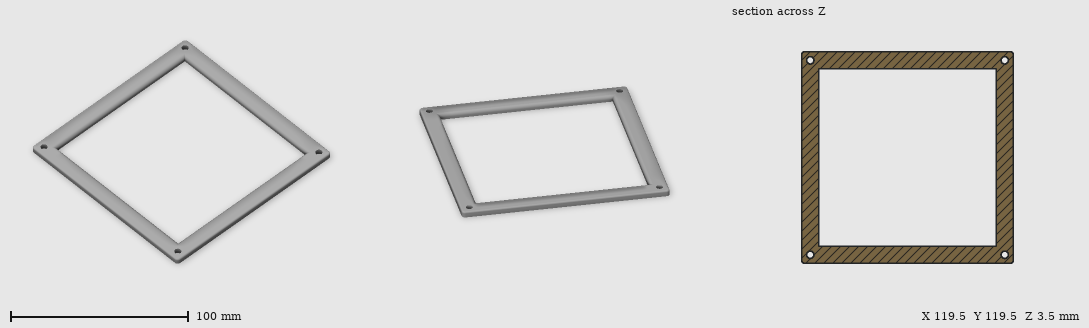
import cadquery as cq

side = 119.5
thickness = 3.5
corner_radius = 2.0
outer_fillet = 1.0

window_margin = 10.0
window_side = side - 2 * window_margin
window_fillet = 2.0

hole_diameter = 4.0
hole_inset = 5.0
hole_spacing = side - 2 * hole_inset


def make_plate():
    """Square plate with rounded corners and a rounded upper rim."""
    plate = cq.Workplane("XY").rect(side, side).extrude(thickness)
    plate = plate.edges("|Z").fillet(corner_radius)
    return plate.faces(">Z").edges().fillet(outer_fillet)


def cut_window(plate):
    """Cut the square window and round over its upper edge."""
    window = cq.Workplane("XY").rect(window_side, window_side).extrude(thickness)
    rim_reach = window_side / 2 + window_fillet / 2
    rim_selector = cq.selectors.BoxSelector(
        (-rim_reach, -rim_reach, thickness - window_fillet / 2),
        (rim_reach, rim_reach, thickness + window_fillet / 2),
    )
    return plate.cut(window).edges(rim_selector).fillet(window_fillet)


def drill_holes(plate):
    """Drill one through hole near each corner."""
    return (
        plate.faces("<Z")
        .workplane(centerOption="CenterOfBoundBox")
        .rect(hole_spacing, hole_spacing, forConstruction=True)
        .vertices()
        .hole(hole_diameter)
    )


result = drill_holes(cut_window(make_plate()))